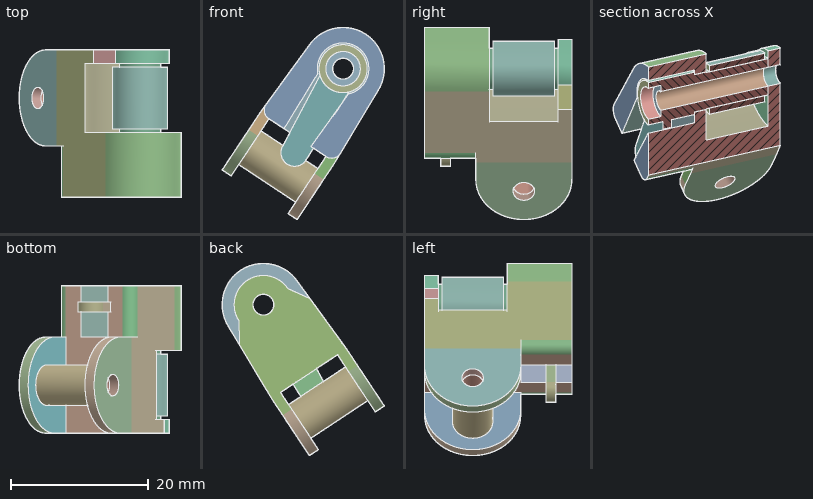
import cadquery as cq
import math

LEAN = 33.5

FRONT_LENGTH = 9.42
BACK_PLATE = 2.0
GAP_LENGTH = 10.0
END_CLEARANCE = 0.5
SLOT_DEPTH = 7.43
TOTAL_LENGTH = FRONT_LENGTH + GAP_LENGTH + BACK_PLATE

HEAD_RADIUS = 6.0
HALF_WIDTH = 6.55
FLANK_END = 12.02
CORNER_RADIUS = 1.5
BACK_RADIUS = 4.25
SHOULDER_DROP = 3.02
ROLLER_CAVITY_RADIUS = 8.02

EAR_THICKNESS = 1.6
EAR_WIDTH = TOTAL_LENGTH - SLOT_DEPTH
EAR_ARC_DROP = 14.98
TUBE_DROP = 17.05
TUBE_DIAMETER = 5.9
TUBE_BORE = 3.1
EAR_INNER = HALF_WIDTH - EAR_THICKNESS
EAR_CENTER_Y = SLOT_DEPTH + EAR_WIDTH / 2

PIVOT_BORE = 3.0
COUNTERBORE_DIAMETER = 5.0
COUNTERBORE_DEPTH = 2.0
HUB_DIAMETER = 7.0
HUB_POCKET_DIAMETER = 7.5
AXLE_DIAMETER = 6.0
ROLLER_DIAMETER = 8.0

SLOT_TOP_HALF = 2.77
SLOT_BOTTOM_HALF = 2.35
ARM_TILT = -3.5
ARM_LENGTH = 14.1
ARM_ROOT_HALF = 2.52
ARM_TIP_RADIUS = 1.98
ARM_FRONT = 2.35
ARM_THICKNESS = 1.45


def front_plane(y):
    """Sketch plane facing -Y; extruding a negative distance goes toward +Y."""
    return cq.Workplane("XZ", origin=(0, y, 0))


def rod(diameter, start, length):
    """Cylinder on the pivot axis running toward +Y from start."""
    return front_plane(start).circle(diameter / 2).extrude(-length)


def across(diameter, half_length):
    """Cylinder along X on the ear tube axis, centred on x = 0."""
    return (
        cq.Workplane("YZ", origin=(-half_length, EAR_CENTER_Y, -TUBE_DROP))
        .circle(diameter / 2)
        .extrude(2 * half_length)
    )


def head_block(start, length):
    """Tapered block with a round top around the pivot."""
    return (
        front_plane(start)
        .moveTo(-HALF_WIDTH, -FLANK_END)
        .lineTo(-HEAD_RADIUS, 0)
        .threePointArc((0, HEAD_RADIUS), (HEAD_RADIUS, 0))
        .lineTo(HALF_WIDTH, -FLANK_END)
        .close()
        .extrude(-length)
    )


def back_block():
    """Block behind the front head: shoulders sloping up to a smaller round top."""
    flank_slope = (HALF_WIDTH - HEAD_RADIUS) / FLANK_END
    shoulder_half = HALF_WIDTH - flank_slope * (FLANK_END - SHOULDER_DROP)
    return (
        front_plane(FRONT_LENGTH)
        .moveTo(-HALF_WIDTH, -FLANK_END)
        .lineTo(-shoulder_half, -SHOULDER_DROP)
        .lineTo(-BACK_RADIUS, 0)
        .threePointArc((0, BACK_RADIUS), (BACK_RADIUS, 0))
        .lineTo(shoulder_half, -SHOULDER_DROP)
        .lineTo(HALF_WIDTH, -FLANK_END)
        .close()
        .extrude(-(GAP_LENGTH + BACK_PLATE))
    )


def ear(inner_x):
    """Round-ended ear plate whose lower-X face is at inner_x."""
    front = SLOT_DEPTH
    back = TOTAL_LENGTH
    tip = EAR_ARC_DROP + EAR_WIDTH / 2
    return (
        cq.Workplane("YZ", origin=(inner_x, 0, 0))
        .moveTo(front, -FLANK_END)
        .lineTo(front, -EAR_ARC_DROP)
        .threePointArc((EAR_CENTER_Y, -tip), (back, -EAR_ARC_DROP))
        .lineTo(back, -FLANK_END)
        .close()
        .extrude(EAR_THICKNESS)
    )


def lever_slot():
    """Tapered slot, open at the front and bottom, with a round hub pocket."""
    slot = (
        front_plane(0)
        .polyline([
            (-SLOT_TOP_HALF, 0),
            (SLOT_TOP_HALF, 0),
            (SLOT_BOTTOM_HALF, -FLANK_END),
            (-SLOT_BOTTOM_HALF, -FLANK_END),
        ])
        .close()
        .extrude(-SLOT_DEPTH)
    )
    return slot.union(rod(HUB_POCKET_DIAMETER, 0, SLOT_DEPTH))


def lever_arm():
    """Tapered, round-tipped arm, swung slightly to one side of the slot."""
    taper = math.asin((ARM_ROOT_HALF - ARM_TIP_RADIUS) / ARM_LENGTH)
    tip_x = ARM_TIP_RADIUS * math.cos(taper)
    tip_z = -ARM_LENGTH - ARM_TIP_RADIUS * math.sin(taper)
    return (
        front_plane(ARM_FRONT)
        .moveTo(-ARM_ROOT_HALF, 0)
        .lineTo(-tip_x, tip_z)
        .threePointArc((0, -ARM_LENGTH - ARM_TIP_RADIUS), (tip_x, tip_z))
        .lineTo(ARM_ROOT_HALF, 0)
        .close()
        .extrude(-ARM_THICKNESS)
        .rotate((0, 0, 0), (0, 1, 0), ARM_TILT)
    )


def make_housing():
    front = head_block(0, SLOT_DEPTH).edges("|Y and <Z").fillet(CORNER_RADIUS)
    wall = head_block(SLOT_DEPTH, FRONT_LENGTH - SLOT_DEPTH)
    body = front.union(wall).union(back_block())
    for inner_x in (-HALF_WIDTH, EAR_INNER):
        body = body.union(ear(inner_x))

    body = body.cut(rod(2 * ROLLER_CAVITY_RADIUS, FRONT_LENGTH, GAP_LENGTH))
    body = body.cut(lever_slot())
    body = body.cut(lever_arm())
    body = body.cut(rod(AXLE_DIAMETER, 0, FRONT_LENGTH))
    body = body.cut(rod(PIVOT_BORE, 0, TOTAL_LENGTH))
    return body.cut(across(TUBE_BORE, HALF_WIDTH))


def make_lever():
    """Hub, arm and hollow axle that carries the roller."""
    hub = rod(HUB_DIAMETER, 0, SLOT_DEPTH)
    axle = rod(AXLE_DIAMETER, 0, FRONT_LENGTH + GAP_LENGTH)
    body = hub.union(axle).union(lever_arm())
    body = body.cut(rod(COUNTERBORE_DIAMETER, 0, COUNTERBORE_DEPTH))
    return body.cut(rod(PIVOT_BORE, 0, TOTAL_LENGTH))


def make_roller():
    start = FRONT_LENGTH + END_CLEARANCE
    length = GAP_LENGTH - 2 * END_CLEARANCE
    return rod(ROLLER_DIAMETER, start, length).cut(rod(AXLE_DIAMETER, start, length))


def make_tube():
    """Plain sleeve held between the inner faces of the ears."""
    return across(TUBE_DIAMETER, EAR_INNER).cut(across(TUBE_BORE, EAR_INNER))


def lean(body):
    return body.rotate((0, 0, 0), (0, 1, 0), LEAN)


housing = lean(make_housing())
lever = lean(make_lever())
roller = lean(make_roller())
tube = lean(make_tube())

result = cq.Compound.makeCompound([housing.val(), lever.val(), roller.val(), tube.val()])